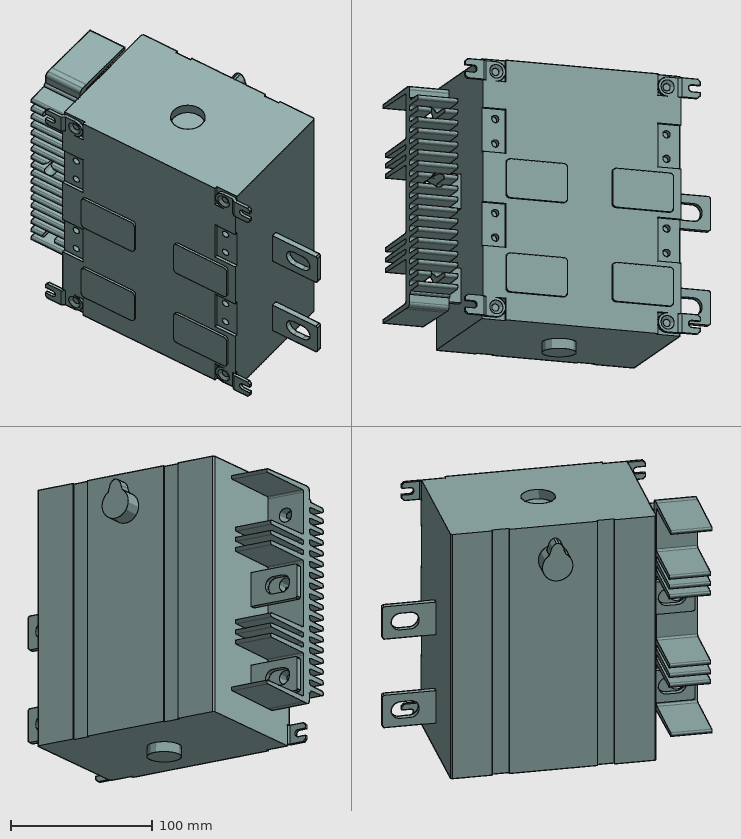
import cadquery as cq

housing_width = 148.8
housing_depth = 98.2
housing_height = 189.5
back_chamfer = 1.1
groove_width = 12.4
groove_depth = 1.5
groove_offset = 38.0

boss_diameter = 24.3
boss_height = 7.3
boss_y = 47.9

pole_pitch = 68.7
lower_pole_z = 34.5
pole_heights = [lower_pole_z, lower_pole_z + pole_pitch]

pad_width = 45.8
pad_height = 28.5
pad_thickness = 1.8
pad_corner_radius = 3.0
left_pad_x = -34.4
pad_pitch = 79.7

pocket_width = 17.5
pocket_height = 32.0
pocket_depth = 2.3
pocket_rise = pole_pitch / 2
pocket_hole_diameter = 5.3
pocket_hole_depth = 4.5
pocket_hole_pitch = 17.9
screw_inset = 10.0

lug_width = 14.0
lug_thickness = 2.3
lug_reach = 13.7
lug_edge_gap = 1.8
lug_tip_chamfer = 1.8
lug_slot_width = 5.3
lug_slot_depth = 8.7
joggle_length = 2.3
joggle_back_shift = 1.0
countersink_diameter = 9.8
screw_hole_diameter = 5.3
countersink_depth = 2.0

bar_height = 25.2
bar_thickness = 4.1
bar_half_length = 113.1
bar_corner = 1.1
bar_slot_width = 12.8
bar_slot_length = 20.2
bar_slot_inset = 16.5
bar_y = boss_y

overall_length = 229.0
sink_left = bar_half_length - overall_length
sink_width = 29.8
sink_bottom = 14.0
sink_height = 161.2
sink_back = bar_y - bar_thickness / 2
spine_thickness = 7.8
spine_corner_radius = 3.2
end_fin_length = 47.9
end_fin_root = 4.1
end_fin_tip = 2.7
end_fin_lean = 0.8
rear_fin_length = 42.8
rear_fin_root = 4.1
rear_fin_tip = 3.0
rear_fin_pitch = 7.5
rear_fin_rise = 25.2
rear_tip_radius = 1.25
rear_root_radius = 1.49
front_fin_count = 18
front_fin_span = 135.8
front_fin_pitch = front_fin_span / (front_fin_count - 1)
front_fin_length = 18.0
front_fin_root = 4.0
front_fin_tip = 3.5
sink_hole_diameter = 10.3
sink_hole_x = -100.8
top_sink_hole_z = 155.0

overall_depth = 113.5
knob_diameter = 22.0
knob_drop = 26.0
knob_z = housing_height - knob_drop
knob_length = overall_depth - housing_depth - pad_thickness
pointer_width = 12.0
pointer_length = 9.2
pointer_shoulder = 9.5
pointer_neck = 12.5
pointer_neck_width = 9.6
pointer_tip = 18.0
pointer_tip_width = 1.8
pointer_flank_radius = 6.9
mark_width = 3.7
mark_depth = 0.5


def block(x, y, z):
    """Box spanning the given (low, high) pairs."""
    size = (x[1] - x[0], y[1] - y[0], z[1] - z[0])
    return cq.Workplane("XY").box(*size, centered=False).translate((x[0], y[0], z[0]))


def rod(diameter, x, z, y_start, length):
    """Cylinder along +Y."""
    return cq.Workplane("XZ", (x, y_start, z)).circle(diameter / 2).extrude(-length)


def make_housing():
    half_width = housing_width / 2
    housing = block((-half_width, half_width), (0, housing_depth), (0, housing_height))
    housing = housing.edges("|Z and >Y").chamfer(back_chamfer)
    for x in (-groove_offset, groove_offset):
        housing = housing.cut(block(
            (x - groove_width / 2, x + groove_width / 2),
            (housing_depth - groove_depth, housing_depth),
            (0, housing_height),
        ))
    disc = cq.Workplane("XY").center(0, boss_y).circle(boss_diameter / 2)
    housing = housing.union(disc.extrude(-boss_height))
    recess = cq.Workplane("XY", (0, 0, housing_height)).center(0, boss_y).circle(boss_diameter / 2)
    return housing.cut(recess.extrude(-boss_height))


def make_pad(x, z):
    pad = cq.Workplane("XZ").center(x, z).rect(pad_width, pad_height).extrude(pad_thickness)
    return pad.edges("|Y").fillet(pad_corner_radius)


def left_pocket(z):
    """Pocket with two holes at the left edge of the front face."""
    left = -housing_width / 2
    pocket = block(
        (left, left + pocket_width), (0, pocket_depth), (z - pocket_height / 2, z + pocket_height / 2)
    )
    for side in (-1, 1):
        hole_z = z + side * pocket_hole_pitch / 2
        pocket = pocket.union(
            rod(pocket_hole_diameter, left + screw_inset, hole_z, 0, pocket_depth + pocket_hole_depth)
        )
    return pocket


def upper_left_lug_recess():
    left = -housing_width / 2
    lug_bottom = housing_height - lug_edge_gap - lug_width
    return block((left, left + pocket_width), (0, pocket_depth), (lug_bottom, housing_height))


def upper_left_lug():
    """Joggled strip: slotted outside the housing, rounded and countersunk inside the recess."""
    left = -housing_width / 2
    tip = left - lug_reach
    screw_x = left + screw_inset
    round_end = screw_x + lug_width / 2
    middle_z = housing_height - lug_edge_gap - lug_width / 2
    outer_y = -pad_thickness
    inner_y = pocket_depth - lug_thickness
    bend_end = left + joggle_length
    strip = (
        cq.Workplane("XY", (0, 0, middle_z - lug_width / 2))
        .moveTo(tip, outer_y)
        .lineTo(left, outer_y)
        .lineTo(bend_end, inner_y)
        .lineTo(round_end, inner_y)
        .lineTo(round_end, inner_y + lug_thickness)
        .lineTo(bend_end - joggle_back_shift, inner_y + lug_thickness)
        .lineTo(left - joggle_back_shift, outer_y + lug_thickness)
        .lineTo(tip, outer_y + lug_thickness)
        .close()
        .extrude(lug_width)
    )
    strip = strip.edges("|Y and <X").chamfer(lug_tip_chamfer)
    nearly_half = 0.999 / 2
    strip = strip.edges("|Y and >X").fillet(nearly_half * lug_width)
    slot_end = tip + lug_slot_depth - lug_slot_width / 2
    slot = block(
        (tip, slot_end),
        (outer_y, pocket_depth),
        (middle_z - lug_slot_width / 2, middle_z + lug_slot_width / 2),
    )
    slot = slot.union(rod(lug_slot_width, slot_end, middle_z, outer_y, lug_thickness))
    screw_hole = cq.Solid.makeCone(
        countersink_diameter / 2, screw_hole_diameter / 2, countersink_depth,
        cq.Vector(screw_x, inner_y, middle_z), cq.Vector(0, 1, 0),
    )
    return strip.cut(slot).cut(cq.Workplane(screw_hole))


def both_sides(shape):
    return shape.union(shape.mirror("YZ"))


def all_corners(shape):
    sides = both_sides(shape)
    return sides.union(sides.mirror("XY", (0, 0, housing_height / 2)))


def make_bar(z):
    front_y = bar_y - bar_thickness / 2
    bar = block(
        (-bar_half_length, bar_half_length),
        (front_y, front_y + bar_thickness),
        (z - bar_height / 2, z + bar_height / 2),
    ).edges("|Y").chamfer(bar_corner)
    slot_x = bar_half_length - bar_slot_inset
    slots = (
        cq.Workplane("XZ", (0, front_y, z))
        .pushPoints([(-slot_x, 0), (slot_x, 0)])
        .slot2D(bar_slot_length, bar_slot_width)
        .extrude(-bar_thickness)
    )
    return bar.cut(slots)


def rear_fin(length, root_z, tip_z):
    """Tapered fin behind the spine; root_z and tip_z are its (low, high) heights at the two ends."""
    tip_y = sink_back + length
    fin = (
        cq.Workplane("YZ", (sink_left, 0, 0))
        .polyline([
            (sink_back, root_z[0]),
            (tip_y, tip_z[0]),
            (tip_y, tip_z[1]),
            (sink_back, root_z[1]),
        ])
        .close()
        .extrude(sink_width)
    )
    return fin.edges("|X and >Y").fillet(rear_tip_radius)


def front_comb():
    """Front fins, with half-round tips and half-round gaps between them, as one outline."""
    spine_front = sink_back - spine_thickness
    gap_radius = (front_fin_pitch - front_fin_root) / 2
    tip_radius = front_fin_tip / 2
    half_root = front_fin_root / 2
    root_y = spine_front - gap_radius
    tip_y = spine_front - front_fin_length + tip_radius
    first_z = sink_bottom + (sink_height - front_fin_span) / 2
    last_z = first_z + front_fin_span
    comb = (
        cq.Workplane("YZ", (sink_left, 0, 0))
        .moveTo(spine_front + gap_radius, first_z - half_root - gap_radius)
        .lineTo(spine_front, first_z - half_root - gap_radius)
        .radiusArc((root_y, first_z - half_root), gap_radius)
    )
    for index in range(front_fin_count):
        z = first_z + index * front_fin_pitch
        comb = (
            comb.lineTo(tip_y, z - tip_radius)
            .threePointArc((tip_y - tip_radius, z), (tip_y, z + tip_radius))
            .lineTo(root_y, z + half_root)
        )
        if index < front_fin_count - 1:
            gap_z = z + front_fin_pitch / 2
            comb = comb.threePointArc((spine_front, gap_z), (root_y, gap_z + gap_radius))
    comb = (
        comb.radiusArc((spine_front, last_z + half_root + gap_radius), gap_radius)
        .lineTo(spine_front + gap_radius, last_z + half_root + gap_radius)
        .close()
    )
    return comb.extrude(sink_width)


def make_sink():
    top = sink_bottom + sink_height
    sink = block(
        (sink_left, sink_left + sink_width), (sink_back - spine_thickness, sink_back), (sink_bottom, top)
    )
    sink = sink.edges("|X and <Y").fillet(spine_corner_radius)
    for end, inward in ((sink_bottom, 1), (top, -1)):
        lean = end_fin_lean * inward
        root_z = sorted((end, end + inward * end_fin_root))
        tip_z = sorted((end + lean, end + lean + inward * end_fin_tip))
        sink = sink.union(rear_fin(end_fin_length, root_z, tip_z))
    for pole_z in pole_heights:
        for step in (-1, 0, 1):
            z = pole_z + rear_fin_rise + step * rear_fin_pitch
            root_z = (z - rear_fin_root / 2, z + rear_fin_root / 2)
            tip_z = (z - rear_fin_tip / 2, z + rear_fin_tip / 2)
            sink = sink.union(rear_fin(rear_fin_length, root_z, tip_z))
    margin = rear_root_radius / 2
    root_corners = cq.selectors.BoxSelector(
        (sink_left - margin, sink_back - margin, sink_bottom + margin),
        (sink_left + sink_width + margin, sink_back + margin, top - margin),
    )
    sink = sink.edges("|X").edges(root_corners).fillet(rear_root_radius)
    sink = sink.union(front_comb())
    for z in pole_heights + [top_sink_hole_z]:
        sink = sink.cut(rod(sink_hole_diameter, sink_hole_x, z, 0, sink_back))
    return sink


def make_knob():
    """Round knob with a pointer above it and a shallow mark along its top."""
    disc = rod(knob_diameter, 0, knob_z, housing_depth, knob_length)
    half_width = pointer_width / 2
    half_neck = pointer_neck_width / 2
    half_tip = pointer_tip_width / 2
    pointer = (
        cq.Workplane("XZ", (0, housing_depth + knob_length, knob_z))
        .moveTo(-half_width, 0)
        .lineTo(half_width, 0)
        .lineTo(half_width, pointer_shoulder)
        .lineTo(half_neck, pointer_neck)
        .radiusArc((half_tip, pointer_tip), -pointer_flank_radius)
        .lineTo(-half_tip, pointer_tip)
        .radiusArc((-half_neck, pointer_neck), -pointer_flank_radius)
        .lineTo(-half_width, pointer_shoulder)
        .close()
        .extrude(pointer_length)
    )
    top = knob_z + knob_diameter / 2
    mark = block(
        (-mark_width / 2, mark_width / 2),
        (housing_depth, housing_depth + knob_length),
        (top - mark_depth, top),
    )
    return disc.cut(mark).union(pointer)


result = make_housing().union(make_knob())
for pole_z in pole_heights:
    for pad_x in (left_pad_x, left_pad_x + pad_pitch):
        result = result.union(make_pad(pad_x, pole_z))
    result = result.cut(both_sides(left_pocket(pole_z + pocket_rise)))
    result = result.union(make_bar(pole_z))
result = result.cut(all_corners(upper_left_lug_recess()))
result = result.union(all_corners(upper_left_lug()))
result = result.union(make_sink())